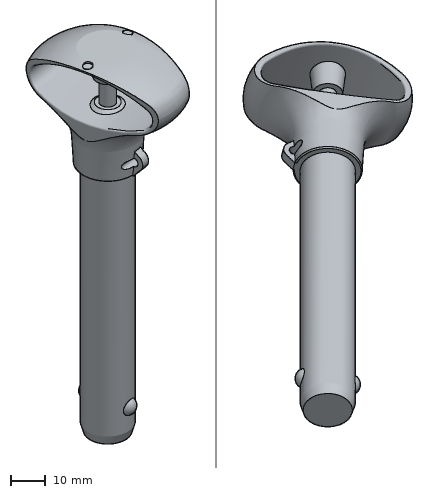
import cadquery as cq
import math

shank_radius = 8.0
tip_radius = 7.1
tip_length = 3.2

ball_radius = 3.0
ball_reach = 9.6
ball_height = 11.3

overall_height = 134.5
top_flat_radius = 9.0
dome_mid_radius, dome_mid_height = 16.0, 131.9
shoulder_radius, shoulder_height = 22.1, 127.9
handle_radius, handle_height = 24.5, 122.7
underside_radius, underside_height = 20.0, 116.0
flare_mid_radius, flare_mid_height = 13.1, 111.6
neck_radius, neck_height = 10.6, 105.2
collar_radius, collar_bottom = 10.0, 94.2
collar_chamfer = 0.4

handle_depth = 24.9
flank_radius = 70.0
flank_draft = 2.5
flank_half_length = 30.0

window_top = 132.6
window_bottom = 114.6
window_upper_x, window_upper_z = 19.7, 125.5
window_end_x, window_end_z = 21.2, 121.8
window_lower_x, window_lower_z = 18.4, 117.5
window_rim_fillet = 0.6
contact_tolerance = 0.001

button_top_radius = 5.3
button_bottom_radius = 4.35
button_bottom = 124.6
stem_radius = 2.6
seat_base_radius = 5.3
seat_top_radius = 3.9
seat_top = 115.5

ear_x, ear_z = 10.1, 99.1
ear_radius = 3.2
ear_hole_radius = 1.5
ear_thickness = 3.0
ear_root_top = 103.2

pin_offset = 10.2
pin_radius = 1.5
pin_top = 133.9


def revolve_about_z(profile):
    """Turn a profile about Z, with the seam on -X so that it stays clear of the ear hole."""
    turned = profile.revolve(360, (0, 0, 0), (0, 1, 0))
    return turned.rotate((0, 0, 0), (0, 0, 1), 180)


def make_shank():
    profile = (
        cq.Workplane("XZ")
        .lineTo(tip_radius, 0)
        .lineTo(shank_radius, tip_length)
        .lineTo(shank_radius, neck_height)
        .lineTo(0, neck_height)
        .close()
    )
    return revolve_about_z(profile)


def make_ball(side):
    center_x = side * (ball_reach - ball_radius)
    return cq.Workplane("XY").sphere(ball_radius).translate((center_x, 0, ball_height))


def rim_radius(radius, height):
    """Radius of the arc that is upright at the widest point and passes through the given point."""
    inset = handle_radius - radius
    rise = height - handle_height
    return (inset**2 + rise**2) / (2 * inset)


def make_turned_handle():
    profile = (
        cq.Workplane("XZ")
        .moveTo(0, overall_height)
        .lineTo(top_flat_radius, overall_height)
        .threePointArc((dome_mid_radius, dome_mid_height), (shoulder_radius, shoulder_height))
        .radiusArc((handle_radius, handle_height), rim_radius(shoulder_radius, shoulder_height))
        .radiusArc((underside_radius, underside_height), rim_radius(underside_radius, underside_height))
        .threePointArc((flare_mid_radius, flare_mid_height), (neck_radius, neck_height))
        .lineTo(collar_radius, collar_bottom + collar_chamfer)
        .lineTo(collar_radius - collar_chamfer, collar_bottom)
        .lineTo(0, collar_bottom)
        .close()
    )
    return revolve_about_z(profile)


def make_flank_envelope():
    """Lens-shaped block whose two bowed flanks draw inward toward the shank."""
    half_depth = handle_depth / 2
    bow = flank_radius - math.sqrt(flank_radius**2 - flank_half_length**2)
    corner_y = half_depth - bow
    outline = (
        cq.Workplane("XY", origin=(0, 0, overall_height))
        .moveTo(-flank_half_length, -corner_y)
        .threePointArc((0, -half_depth), (flank_half_length, -corner_y))
        .lineTo(flank_half_length, corner_y)
        .threePointArc((0, half_depth), (-flank_half_length, corner_y))
        .close()
    )
    return outline.extrude(-(overall_height - collar_bottom), taper=flank_draft)


def make_window():
    outline = (
        cq.Workplane("XZ")
        .moveTo(-window_upper_x, window_upper_z)
        .threePointArc((0, window_top), (window_upper_x, window_upper_z))
        .threePointArc((window_end_x, window_end_z), (window_lower_x, window_lower_z))
        .threePointArc((0, window_bottom), (-window_lower_x, window_lower_z))
        .threePointArc((-window_end_x, window_end_z), (-window_upper_x, window_upper_z))
        .close()
    )
    return outline.extrude(handle_depth, both=True)


def make_handle():
    """Trim the turned body, open the window and round the two rims of the window."""
    window = make_window()
    handle = make_turned_handle().intersect(make_flank_envelope()).cut(window)

    def is_window_rim(edge):
        middle = cq.Vertex.makeVertex(*edge.positionAt(0.5).toTuple())
        on_window = window.val().distance(middle) < contact_tolerance
        return on_window and edge.geomType() != "LINE"

    return handle.edges().filter(is_window_rim).fillet(window_rim_fillet)


def make_cone(base_radius, base_z, top_radius, top_z):
    cone = cq.Solid.makeCone(base_radius, top_radius, top_z - base_z, cq.Vector(0, 0, base_z))
    return cq.Workplane(cone)


def make_button():
    """Button, stem and seat; the ends run into the handle so that they join it."""
    roof = (window_top + overall_height) / 2
    floor = neck_height
    stem = cq.Workplane("XY", origin=(0, 0, floor)).circle(stem_radius).extrude(roof - floor)
    button = make_cone(button_bottom_radius, button_bottom, button_top_radius, roof)
    seat = make_cone(seat_base_radius, window_bottom, seat_top_radius, seat_top)
    return stem.union(button).union(seat)


def make_ear():
    """Ear with a round nose that meets its two sloping sides at 45 degrees."""
    tangent_offset = ear_radius * math.cos(math.radians(45))
    outline = (
        cq.Workplane("XZ")
        .moveTo(shank_radius, collar_bottom)
        .lineTo(collar_radius, collar_bottom)
        .lineTo(ear_x + tangent_offset, ear_z - tangent_offset)
        .threePointArc((ear_x + ear_radius, ear_z), (ear_x + tangent_offset, ear_z + tangent_offset))
        .lineTo(collar_radius, ear_root_top)
        .lineTo(shank_radius, ear_root_top)
        .close()
    )
    return outline.extrude(ear_thickness / 2, both=True)


def make_ear_hole():
    hole = cq.Workplane("XZ").center(ear_x, ear_z).circle(ear_hole_radius)
    return hole.extrude(handle_depth, both=True)


def make_pin_recess(side):
    """Clearance above a retaining pin, leaving its flat end bare in the domed top."""
    recess = cq.Workplane("XY", origin=(0, side * pin_offset, pin_top)).circle(pin_radius)
    return recess.extrude(overall_height - pin_top)


def make_pin(side):
    pin = cq.Workplane("XY", origin=(0, side * pin_offset, window_top)).circle(pin_radius)
    return pin.extrude(pin_top - window_top)


result = make_handle().union(make_shank()).union(make_button()).union(make_ear())
result = result.cut(make_ear_hole())
for side in (-1, 1):
    result = result.union(make_ball(side))
    result = result.cut(make_pin_recess(side)).union(make_pin(side))